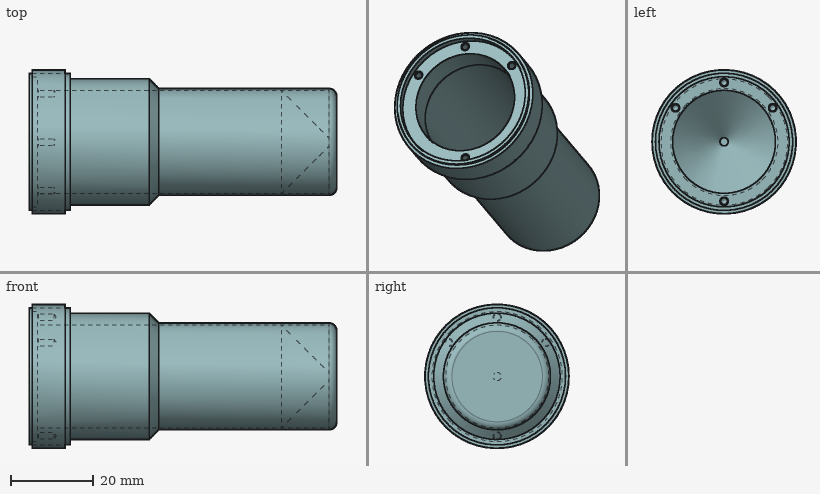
import cadquery as cq
import math


head_diameter = 33.3
head_length = 10.0
recess_diameter = 31.6
recess_depth = 2.0
bore_diameter = 25.0

band_diameter = 35.0
band_start = 0.75
band_end = 8.75

screw_hole_diameter = 1.6
screw_mouth_diameter = 2.0
screw_hole_depth = 4.0
screw_point_angle = 118.0
screw_circle_radius = 14.4
screw_angles = (35.0, 90.0, 145.0, 270.0)

total_length = 74.7
housing_diameter = 30.7
tail_diameter = 26.0
shoulder_start = 29.1
end_round = 2.0
end_wall = 2.0

funnel_tip_diameter = 2.0

head_radius = head_diameter / 2
recess_radius = recess_diameter / 2
bore_radius = bore_diameter / 2
band_radius = band_diameter / 2
housing_radius = housing_diameter / 2
tail_radius = tail_diameter / 2
tip_radius = funnel_tip_diameter / 2

shoulder_end = shoulder_start + housing_radius - tail_radius
bore_end = total_length - end_wall
plug_start = bore_end - (bore_radius - tip_radius)


def revolve_about_x(profile):
    return profile.close().revolve(360, (0, 0, 0), (1, 0, 0))


def make_screw_hole(angle):
    """Chamfered blind hole with a drill point, sunk along X from the recessed face."""
    hole_radius = screw_hole_diameter / 2
    mouth_radius = screw_mouth_diameter / 2
    point_length = hole_radius / math.tan(math.radians(screw_point_angle / 2))
    profile = (
        cq.Workplane("XY")
        .moveTo(recess_depth, 0)
        .lineTo(recess_depth, mouth_radius)
        .lineTo(recess_depth + mouth_radius - hole_radius, hole_radius)
        .lineTo(recess_depth + screw_hole_depth, hole_radius)
        .lineTo(recess_depth + screw_hole_depth + point_length, 0)
    )
    return revolve_about_x(profile).translate((
        0,
        screw_circle_radius * math.cos(math.radians(angle)),
        screw_circle_radius * math.sin(math.radians(angle)),
    ))


def make_head():
    profile = (
        cq.Workplane("XY")
        .moveTo(0, recess_radius)
        .lineTo(0, head_radius)
        .lineTo(head_length, head_radius)
        .lineTo(head_length, bore_radius)
        .lineTo(recess_depth, bore_radius)
        .lineTo(recess_depth, recess_radius)
    )
    head = revolve_about_x(profile)
    for angle in screw_angles:
        head = head.cut(make_screw_hole(angle))
    return head


def make_band():
    profile = (
        cq.Workplane("XY")
        .moveTo(band_start, head_radius)
        .lineTo(band_start, band_radius)
        .lineTo(band_end, band_radius)
        .lineTo(band_end, head_radius)
    )
    return revolve_about_x(profile)


def make_housing():
    round_offset = end_round * math.sin(math.radians(45))
    profile = (
        cq.Workplane("XY")
        .moveTo(head_length, bore_radius)
        .lineTo(head_length, housing_radius)
        .lineTo(shoulder_start, housing_radius)
        .lineTo(shoulder_end, tail_radius)
        .lineTo(total_length - end_round, tail_radius)
        .threePointArc(
            (total_length - end_round + round_offset, tail_radius - end_round + round_offset),
            (total_length, tail_radius - end_round),
        )
        .lineTo(total_length, 0)
        .lineTo(bore_end, 0)
        .lineTo(bore_end, bore_radius)
    )
    return revolve_about_x(profile)


def make_plug():
    profile = (
        cq.Workplane("XY")
        .moveTo(plug_start, bore_radius)
        .lineTo(bore_end, bore_radius)
        .lineTo(bore_end, tip_radius)
    )
    return revolve_about_x(profile)


head = make_head()
band = make_band()
housing = make_housing()
plug = make_plug()

result = cq.Compound.makeCompound([head.val(), band.val(), housing.val(), plug.val()])